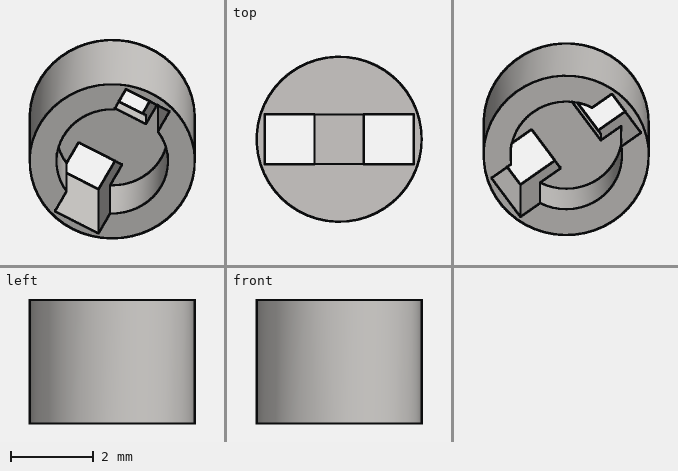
import cadquery as cq

body_diameter = 4.0
body_height = 3.0

slot_length = 3.6
slot_width = 1.2

bridge_length = slot_length / 3
bridge_recess = 0.5
bridge_thickness = 0.6

bore_diameter = 2.7
bore_depth = body_height - bridge_recess - bridge_thickness

body = cq.Workplane("XY").circle(body_diameter / 2).extrude(body_height)
bore = cq.Workplane("XY").circle(bore_diameter / 2).extrude(bore_depth)

slot = cq.Workplane("XY").rect(slot_length, slot_width).extrude(body_height)
bridge = (
    cq.Workplane("XY")
    .workplane(offset=bore_depth)
    .rect(bridge_length, slot_width)
    .extrude(bridge_thickness)
)

result = body.cut(bore).cut(slot.cut(bridge))